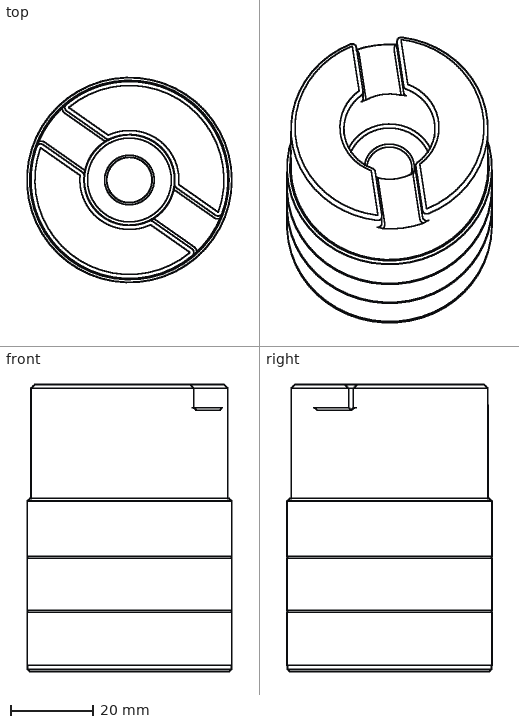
import cadquery as cq
core_height = 70.0
core_radius = 48.0 / 2
top_chamfer = 1.0
slot_width = 10.0
slot_depth = 6.4
slot_floor = core_height - slot_depth
slot_angle = -35.0
slot_corner_radius = 1.05
slot_foot = 0.7
mouth_radius = 22.2 / 2
bore_radius = 22.0 / 2
bore_top = 62.4
bore_floor = 42.2
bore_floor_chamfer = 0.8
hole_radius = 11.0 / 2
hole_chamfer = 0.55

sleeve_height = 42.2
sleeve_chamfer = 0.7
band_radius = 50.0 / 2
band_rise = 0.1
sleeve_radius = band_radius - band_rise
bottom_rim = 1.55
groove_width = 0.5
lower_groove = 14.4
upper_groove = 27.6


def disc(radius, height, base=0.0):
    """Solid cylinder on the Z axis, standing at the height 'base'."""
    return cq.Workplane("XY").workplane(offset=base).circle(radius).extrude(height)


def make_lands():
    """The two raised lands left beside the slot, with flared feet and chamfered tops."""
    foot_top = slot_floor + slot_foot
    land_height = core_height - foot_top
    slot = (
        cq.Workplane("XY").workplane(offset=foot_top)
        .transformed(rotate=(0, 0, slot_angle))
        .rect(3 * core_radius, slot_width).extrude(land_height)
    )
    lands = (
        disc(core_radius, land_height, foot_top)
        .cut(disc(mouth_radius, land_height, foot_top))
        .cut(slot)
        .edges("|Z").fillet(slot_corner_radius)
    )
    mouth = disc(mouth_radius, slot_foot, slot_floor)
    envelope = disc(core_radius, slot_foot, slot_floor).cut(mouth)
    feet = []
    for face in lands.faces("<Z").vals():
        foot = cq.Solid.extrudeLinear(face.outerWire(), [], cq.Vector(0, 0, -slot_foot), -45)
        feet.append(envelope.intersect(cq.Workplane(foot)))
    lands = lands.faces(">Z").edges().chamfer(top_chamfer)
    for foot in feet:
        lands = lands.union(foot)
    return lands


def make_bore():
    """Blind bore: a slight taper below the slot floor, then a bore with a bevelled floor corner."""
    return (
        cq.Workplane("XZ")
        .moveTo(0, bore_floor)
        .lineTo(bore_radius - bore_floor_chamfer, bore_floor)
        .lineTo(bore_radius, bore_floor + bore_floor_chamfer)
        .lineTo(bore_radius, bore_top)
        .lineTo(mouth_radius, slot_floor)
        .lineTo(0, slot_floor)
        .close()
        .revolve(360, (0, 0), (0, 1))
    )


def make_core():
    hole_mouth = (
        cq.Workplane("XY").workplane(offset=bore_floor)
        .circle(hole_radius + hole_chamfer).extrude(-hole_chamfer, taper=45)
    )
    return (
        disc(core_radius, slot_floor)
        .cut(make_bore())
        .cut(disc(hole_radius, bore_floor))
        .cut(hole_mouth)
        .union(make_lands())
    )


def make_sleeve():
    sleeve = disc(sleeve_radius, sleeve_height).edges().chamfer(sleeve_chamfer - band_rise)
    band_spans = [
        (bottom_rim, lower_groove),
        (lower_groove + groove_width, upper_groove),
        (upper_groove + groove_width, sleeve_height - sleeve_chamfer),
    ]
    for bottom, top in band_spans:
        sleeve = sleeve.union(disc(band_radius, top - bottom, bottom))
    return sleeve.cut(disc(core_radius, sleeve_height))


core = make_core()
sleeve = make_sleeve()
result = cq.Compound.makeCompound([core.val(), sleeve.val()])